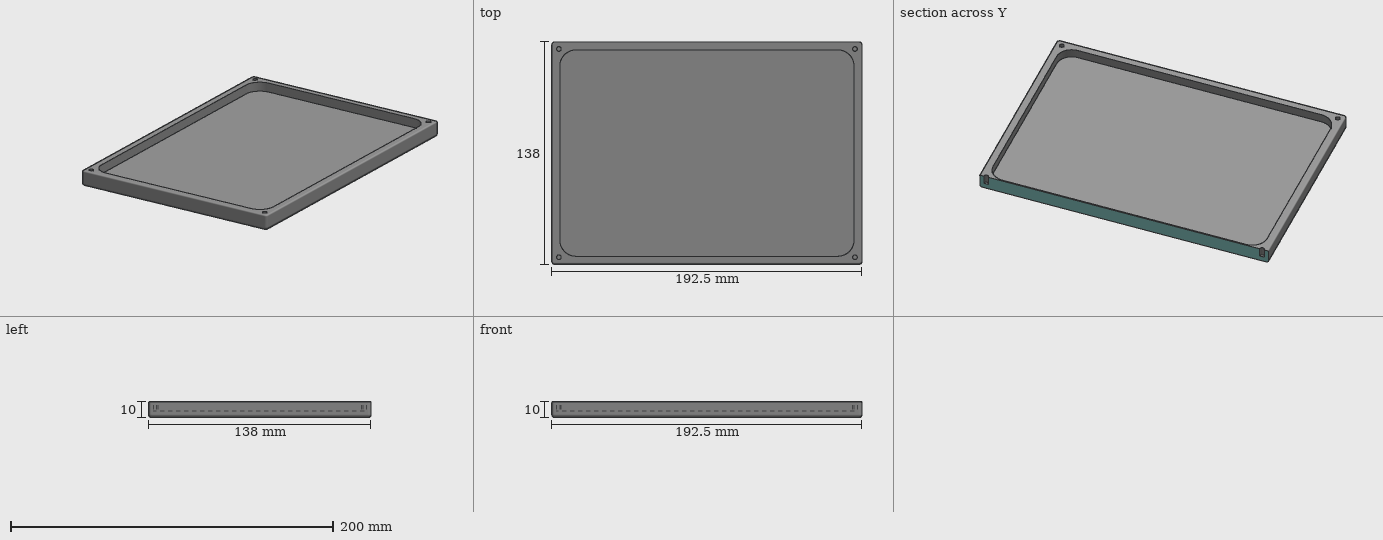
import cadquery as cq

length = 192.5
width = 138.0
height = 10.0
corner_radius = 2.0
top_edge_radius = 1.0
bottom_edge_radius = 2.0

rim_width = 5.0
recess_depth = 6.0
recess_corner_radius = 10.0

hole_diameter = 2.9
hole_inset = 4.5
hole_depth = recess_depth


def make_block():
    """Plate with rounded corners and rounded top and bottom edges."""
    block = cq.Workplane("XY").box(length, width, height, centered=(True, True, False))
    block = block.edges("|Z").fillet(corner_radius)
    block = block.faces(">Z").edges().fillet(top_edge_radius)
    return block.faces("<Z").edges().fillet(bottom_edge_radius)


def make_recess():
    """Rounded pocket that leaves a rim of even width."""
    return (
        cq.Workplane("XY", origin=(0, 0, height - recess_depth))
        .rect(length - 2 * rim_width, width - 2 * rim_width)
        .extrude(recess_depth)
        .edges("|Z")
        .fillet(recess_corner_radius)
    )


def make_corner_holes():
    """One blind hole in each corner of the rim."""
    return (
        cq.Workplane("XY", origin=(0, 0, height - hole_depth))
        .rect(length - 2 * hole_inset, width - 2 * hole_inset, forConstruction=True)
        .vertices()
        .circle(hole_diameter / 2)
        .extrude(hole_depth)
    )


result = make_block().cut(make_recess()).cut(make_corner_holes())